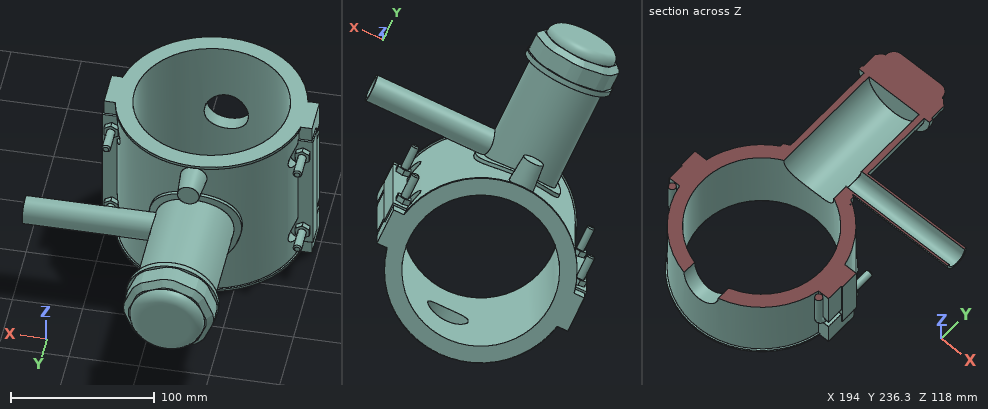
import cadquery as cq
import math

height = 118.0
half_height = height / 2
bore_radius = 55.0
body_radius = 66.0
rim_radius = 67.32
rim_height = 2.0

lug_reach = 74.0
lug_thickness = 13.5
plate_reach = 75.0
plate_thickness = 15.0
plate_height = 95.0

bolt_x = 68.0
bolt_leg_z = 35.3
bolt_diameter = 6.0
bolt_tip_diameter = 4.0
bolt_tip_y = 37.0
bolt_bend_radius = 8.0
bolt_back_y = -17.0
nut_sides = 6
nut_flats = 10.0
nut_thickness = 4.0
pocket_base_radius = 10.0
pocket_end_radius = 8.0
pocket_depth = 14.0

neck_diameter = 56.1
neck_bore = 46.2
tapping_diameter = 31.36
saddle_diameter = 66.0
saddle_radius = 68.5
cap_base_y = 140.0
cap_flange_diameter = 66.0
cap_flange_thickness = 4.0
cap_corner_diameter = 64.0
cap_flats = 61.9
cap_sides = 8
cap_grip_height = 17.0
cap_chamfer = 4.3
dome_diameter = 53.0
dome_height = 8.0

outlet_diameter = 20.0
outlet_bore = 16.0
outlet_y = 71.0
outlet_end_x = 119.0

peg_z = 47.0
peg_tip_y = 85.0
peg_tip_diameter = 15.4
peg_taper = 5.0


def facing_y(y):
    """Workplane at the given Y, extruding toward +Y; its local axes are +X and -Z."""
    return cq.Workplane("XZ", origin=(0, y, 0)).transformed(rotate=(180, 0, 0))


def block(x_min, x_max, y_min, y_max, block_height):
    """Box between the given X and Y limits, centred on Z = 0."""
    size_x = x_max - x_min
    size_y = y_max - y_min
    box = cq.Workplane("XY").box(size_x, size_y, block_height)
    return box.translate(((x_min + x_max) / 2, (y_min + y_max) / 2, 0))


def pipe_cylinder(radius, cylinder_height):
    """Cylinder on the main pipe axis, centred on Z = 0."""
    return cq.Workplane("XY").circle(radius).extrude(cylinder_height / 2, both=True)


def clamp_ring():
    """Outside of the clamp as a solid drum with a raised rim at both ends."""
    drum = pipe_cylinder(body_radius, height)
    rim = cq.Workplane("XY").circle(rim_radius).extrude(rim_height)
    drum = drum.union(rim.translate((0, 0, half_height - rim_height)))
    return drum.union(rim.translate((0, 0, -half_height)))


def left_lug():
    """Lug pair and pressure plate; the -Y lug has open slots for the bolt legs."""
    lug = block(-lug_reach, -bore_radius, -lug_thickness, lug_thickness, height)
    plate = block(-plate_reach, -bore_radius, 0, plate_thickness, plate_height)
    slot = block(-lug_reach, -bolt_x, -lug_thickness, 0, bolt_diameter)
    for side in (1, -1):
        lug = lug.cut(slot.translate((0, 0, side * bolt_leg_z)))
    return lug.union(plate)


def left_nut_pockets():
    """Tapered clearance pockets cut into the drum around the nuts."""
    legs = [(-bolt_x, bolt_leg_z), (-bolt_x, -bolt_leg_z)]
    taper = math.degrees(math.atan((pocket_base_radius - pocket_end_radius) / pocket_depth))
    pockets = facing_y(plate_thickness).pushPoints(legs).circle(pocket_base_radius)
    return pockets.extrude(pocket_depth, taper=taper)


def left_u_bolt():
    """U-bolt swept from leg to leg, with chamfered tips and a hex nut on each leg."""
    leg_end_y = bolt_back_y + bolt_bend_radius
    straight_z = bolt_leg_z - bolt_bend_radius
    mid = bolt_bend_radius * math.sqrt(0.5)
    path = (
        cq.Workplane("YZ", origin=(-bolt_x, 0, 0))
        .moveTo(bolt_tip_y, bolt_leg_z)
        .lineTo(leg_end_y, bolt_leg_z)
        .threePointArc((leg_end_y - mid, straight_z + mid), (bolt_back_y, straight_z))
        .lineTo(bolt_back_y, -straight_z)
        .threePointArc((leg_end_y - mid, -straight_z - mid), (leg_end_y, -bolt_leg_z))
        .lineTo(bolt_tip_y, -bolt_leg_z)
    )
    profile = facing_y(bolt_tip_y).center(-bolt_x, -bolt_leg_z).circle(bolt_diameter / 2)
    bolt = profile.sweep(path)
    bolt = bolt.faces(">Y").edges().chamfer((bolt_diameter - bolt_tip_diameter) / 2)

    nut_corners = nut_flats / math.cos(math.pi / nut_sides)
    nut_plane = facing_y(plate_thickness).transformed(rotate=(0, 0, 90))
    nut = nut_plane.polygon(nut_sides, nut_corners).extrude(nut_thickness)
    for side in (1, -1):
        bolt = bolt.union(nut.translate((-bolt_x, 0, side * bolt_leg_z)))
    return bolt


def saddle():
    """Round pad following the drum surface at the foot of the neck."""
    pad = facing_y(bore_radius).circle(saddle_diameter / 2).extrude(saddle_radius)
    return pad.intersect(pipe_cylinder(saddle_radius, height))


def dome(base_y):
    """Flat-topped dome whose edge is a quarter round over the full height."""
    base_radius = dome_diameter / 2
    flat_radius = base_radius - dome_height
    mid = dome_height * math.sqrt(0.5)
    section = (
        cq.Workplane("XY")
        .moveTo(0, base_y)
        .lineTo(base_radius, base_y)
        .threePointArc((flat_radius + mid, base_y + mid), (flat_radius, base_y + dome_height))
        .lineTo(0, base_y + dome_height)
        .close()
    )
    return section.revolve(360, (0, 0, 0), (0, 1, 0))


def cap():
    """Screw cap: flange, octagonal grip with rounded corners, chamfered top, dome."""
    flange = facing_y(cap_base_y).circle(cap_flange_diameter / 2).extrude(cap_flange_thickness)
    grip_y = cap_base_y + cap_flange_thickness
    octagon_diameter = cap_flats / math.cos(math.pi / cap_sides)
    grip = facing_y(grip_y).polygon(cap_sides, octagon_diameter).extrude(cap_grip_height)
    corner_round = facing_y(grip_y).circle(cap_corner_diameter / 2).extrude(cap_grip_height)
    grip = grip.intersect(corner_round)
    grip = grip.faces(">Y").edges().chamfer(cap_chamfer)
    return flange.union(grip).union(dome(grip_y + cap_grip_height))


def neck():
    """Branch neck rising from the drum to the cap."""
    return facing_y(bore_radius).circle(neck_diameter / 2).extrude(cap_base_y - bore_radius)


def outlet():
    """Side outlet pipe, starting on the neck axis."""
    start = cq.Workplane("YZ").center(outlet_y, 0)
    return start.circle(outlet_diameter / 2).extrude(outlet_end_x)


def pegs():
    """Two terminal pegs tapering toward their tips."""
    length = peg_tip_y - bore_radius
    base_radius = peg_tip_diameter / 2 + length * math.tan(math.radians(peg_taper))
    spots = facing_y(bore_radius).pushPoints([(0, peg_z), (0, -peg_z)])
    return spots.circle(base_radius).extrude(length, taper=peg_taper)


def both_sides(left_part):
    """The given left-hand part together with its mirror image."""
    return left_part.union(left_part.mirror("YZ"))


body = clamp_ring().union(both_sides(left_lug()))
body = body.cut(both_sides(left_nut_pockets()))
body = body.union(saddle()).union(neck()).union(outlet()).union(pegs())
body = body.cut(pipe_cylinder(bore_radius, height))

body = body.cut(facing_y(0).circle(neck_bore / 2).extrude(cap_base_y))
body = body.cut(facing_y(-rim_radius).circle(tapping_diameter / 2).extrude(rim_radius))
body = body.cut(cq.Workplane("YZ").center(outlet_y, 0).circle(outlet_bore / 2).extrude(outlet_end_x))

result = body.union(cap()).union(both_sides(left_u_bolt()))